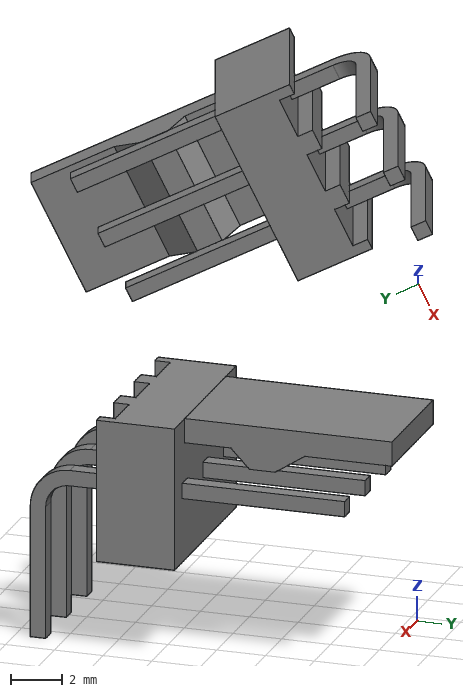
import cadquery as cq


pin_count = 3
pitch = 2.54
housing_width = 7.62
housing_depth = 3.2
housing_height = 5.85
slot_width = 1.68
slot_depth = 0.63

latch_width = 5.09
latch_length = 8.5
latch_thickness = 1.0
bump_height = 0.8
bump_rear_base = 1.89
bump_rear_crest = 2.65
bump_front_crest = 3.71
bump_front_base = 4.92

pin_size = 0.63
pin_axis_depth = 2.89
contact_length = 6.66
tail_reach = 3.04
tail_drop = 3.79
bend_outer_radius = 1.62

bend_inner_radius = bend_outer_radius - pin_size
pin_axis_z = housing_height - pin_axis_depth
pin_top_z = pin_axis_z + pin_size / 2
slot_floor_y = slot_depth - housing_depth
pin_positions = [(i - (pin_count - 1) / 2) * pitch for i in range(pin_count)]


def make_housing():
    """Block with one full-height rear slot behind each contact."""
    block = cq.Workplane("XY").box(
        housing_width, housing_depth, housing_height, centered=(True, False, False)
    ).translate((0, -housing_depth, 0))
    for x in pin_positions:
        slot = cq.Workplane("XY").box(
            slot_width, slot_depth, housing_height, centered=(True, False, False)
        ).translate((x, -housing_depth, 0))
        block = block.cut(slot)
    return block


def make_latch():
    """Flat tongue, flush with the housing top, with a catch bump underneath."""
    underside_z = housing_height - latch_thickness
    crest_z = underside_z - bump_height
    profile = [
        (0, housing_height),
        (latch_length, housing_height),
        (latch_length, underside_z),
        (bump_front_base, underside_z),
        (bump_front_crest, crest_z),
        (bump_rear_crest, crest_z),
        (bump_rear_base, underside_z),
        (0, underside_z),
    ]
    return cq.Workplane("YZ").polyline(profile).close().extrude(latch_width / 2, both=True)


def make_contact(x):
    """Straight square contact that starts on the mating face."""
    return cq.Workplane("XY").box(
        pin_size, contact_length, pin_size, centered=(True, False, True)
    ).translate((x, 0, pin_axis_z))


def make_tail(x):
    """Square tail that leaves the slot floor and bends down through 90 degrees."""
    outer_y = -housing_depth - tail_reach
    inner_y = outer_y + pin_size
    bend_y = outer_y + bend_outer_radius
    bend_z = pin_top_z - bend_outer_radius
    pin_bottom_z = pin_top_z - pin_size
    profile = (
        cq.Workplane("YZ")
        .moveTo(slot_floor_y, pin_top_z)
        .lineTo(bend_y, pin_top_z)
        .radiusArc((outer_y, bend_z), -bend_outer_radius)
        .lineTo(outer_y, -tail_drop)
        .lineTo(inner_y, -tail_drop)
        .lineTo(inner_y, bend_z)
        .radiusArc((bend_y, pin_bottom_z), bend_inner_radius)
        .lineTo(slot_floor_y, pin_bottom_z)
        .close()
    )
    return profile.extrude(pin_size / 2, both=True).translate((x, 0, 0))


housing = make_housing()
latch = make_latch()
contacts = [make_contact(x) for x in pin_positions]
tails = [make_tail(x) for x in pin_positions]

result = cq.Compound.makeCompound([
    housing.val(),
    latch.val(),
    *[contact.val() for contact in contacts],
    *[tail.val() for tail in tails],
])